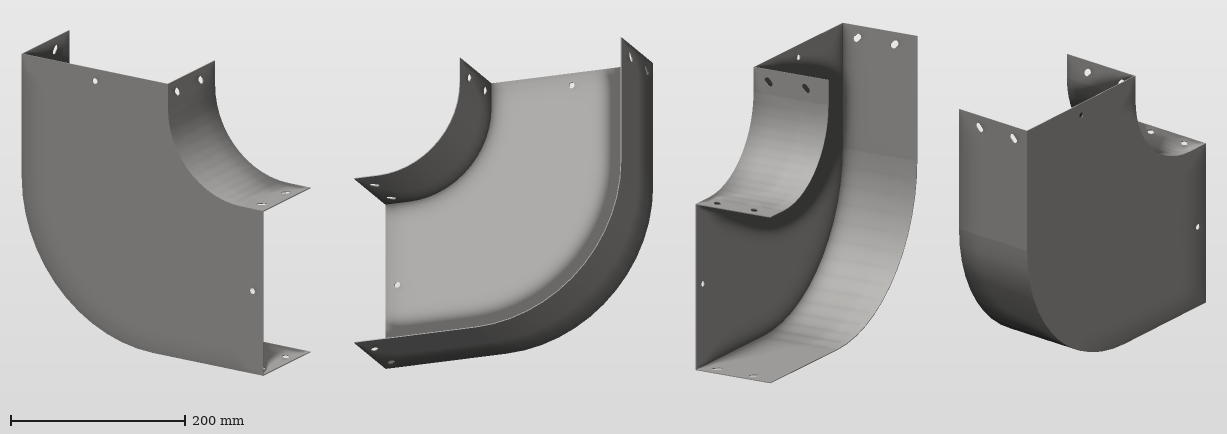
import cadquery as cq

size = 330.0
depth = 100.0
thickness = 1.0
mouth = 200.0
outer_radius = 180.0
inner_radius = 100.0
inner_straight = size - mouth - inner_radius

hole_diameter = 7.0
end_distance = 15.0
slot_length = 12.0
slot_width = hole_diameter
slot_depths = (20.0, 70.0)
back_slot_shift = 1.0
slot_tilt = 45.0


def elbow(offset, end_extension):
    """Solid elbow inset by offset, with both open ends extended."""
    low = offset
    end = size + end_extension
    inner = mouth - offset
    bend_start = size - inner_straight
    return (
        cq.Workplane("XZ")
        .moveTo(low, end)
        .lineTo(inner, end)
        .lineTo(inner, bend_start)
        .radiusArc((bend_start, inner), -(inner_radius + offset))
        .lineTo(end, inner)
        .lineTo(end, low)
        .lineTo(outer_radius, low)
        .radiusArc((low, outer_radius), outer_radius - offset)
        .close()
        .extrude(-depth)
    )


def slot_cutter(plane, center, tilt):
    """Diagonal slot centred on a wall and reaching through both its faces."""
    return (
        cq.Workplane(plane)
        .center(*center)
        .transformed(rotate=(0, 0, tilt))
        .slot2D(slot_length, slot_width)
        .extrude(2 * thickness, both=True)
    )


cavity_clearance = 3.3
cavity = elbow(thickness, cavity_clearance).translate((0, thickness, 0))
result = elbow(0, 0).cut(cavity)

end_position = size - end_distance
mouth_center = mouth / 2
for x, z in ((mouth_center, end_position), (end_position, mouth_center)):
    hole = (
        cq.Workplane("XZ")
        .center(x, z)
        .circle(hole_diameter / 2)
        .extrude(2 * thickness, both=True)
    )
    result = result.cut(hole)

for wall, tilt in ((0, slot_tilt), (mouth, -slot_tilt)):
    for y, shift in zip(slot_depths, (0, back_slot_shift)):
        upright = slot_cutter("YZ", (y, end_position), tilt)
        level = slot_cutter("XY", (end_position + shift, y), -tilt)
        result = result.cut(upright.translate((wall, 0, 0)))
        result = result.cut(level.translate((0, 0, wall)))